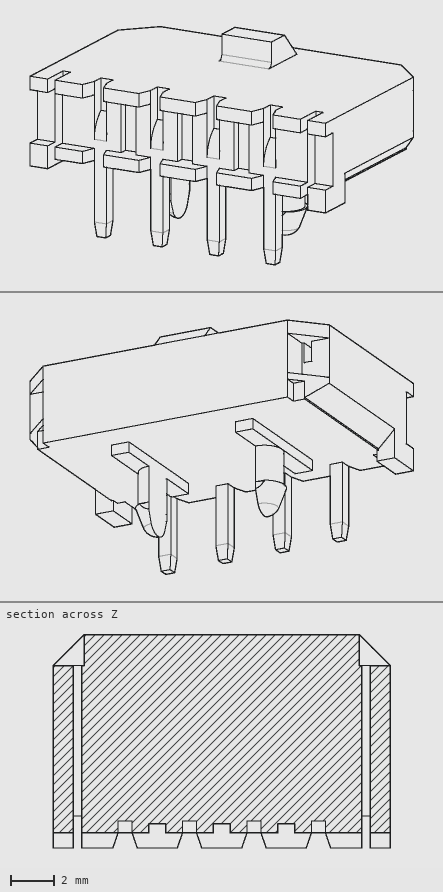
import cadquery as cq
import math


width = 15.65
depth = 9.9
body_bottom = 0.52
body_top = 4.35
corner_chamfer = 1.44
half_width = width / 2

recess_depth = 0.7
recess_bottom = 1.11
recess_top = 3.7

foot_width = 0.94
foot_length = 1.9
slot_width = 0.39
slot_depth = 1.49
slot_centre = half_width - foot_width - slot_width / 2
channel_bottom = 2.7

bevel = 0.85
bevel_top = 1.44
bevel_bottom = bevel_top - bevel
window_bottom = 1.74
corner_notch_top = 1.41
corner_notch_length = corner_chamfer - bevel

pin_count = 4
pin_pitch = 2.99
pin_size = 0.64
pin_tip_size = 0.47
pin_tip_length = 0.72
pin_bottom = -3.18
pin_bend_start = 1.55
pin_bend_radius = 1.5
pin_relief_width = 1.13
pin_back = recess_depth + pin_size

groove_width = 0.78
groove_depth = 0.42

latch_width = 2.63
latch_top = 5.59
latch_fillet = 0.25
latch_front = 6.62
latch_crest_end = 7.89
latch_ramp_end = 9.06

peg_axis_x = 2.79
peg_axis_y = 5.3
peg_radius = 0.9
barb_radius = 1.03
barb_top = -1.78
barb_bottom = -2.79
dome_radius = 0.65
rib_start = 2.2
rib_end = 8.22


def box(x_range, y_range, z_range):
    """Box spanning the given ranges."""
    spans = (x_range, y_range, z_range)
    size = [end - start for start, end in spans]
    corner = [start for start, end in spans]
    return cq.Workplane("XY").box(*size, centered=False).translate(tuple(corner))


def centred(middle, size):
    """Range of a given size about a middle value."""
    return (middle - size / 2, middle + size / 2)


def both_sides(solid):
    """The solid together with its mirror image in X."""
    return solid.union(solid.mirror("YZ"))


def row(count):
    """X places of evenly spaced items, centred on X = 0."""
    return [(i - (count - 1) / 2) * pin_pitch for i in range(count)]


def make_housing():
    block = box((-half_width, half_width), (0, depth), (body_bottom, body_top))
    block = block.edges("|Z and >Y").chamfer(corner_chamfer)
    foot = box((half_width - foot_width, half_width), (0, foot_length), (0, body_bottom))
    recess = box((-half_width, half_width), (0, recess_depth), (recess_bottom, recess_top))
    return block.union(both_sides(foot)).cut(recess)


def make_slots():
    """Vertical slots beside the feet, each with a channel running on through the housing."""
    slot_x = centred(slot_centre, slot_width)
    slot = box(slot_x, (0, slot_depth), (0, body_top))
    channel = box(slot_x, (0, depth), (channel_bottom, recess_top))
    return both_sides(slot.union(channel))


def make_side_cuts():
    """Bevel and step under the side walls, and the notches in the chamfered corners."""
    step_x = half_width - bevel
    side_cut = (
        cq.Workplane("XZ", origin=(0, foot_length, 0))
        .moveTo(half_width, bevel_top)
        .lineTo(step_x, bevel_bottom)
        .lineTo(step_x, body_bottom)
        .lineTo(half_width, body_bottom)
        .close()
        .extrude(foot_length - depth)
    )
    notch_x = (half_width - corner_chamfer, half_width)
    window = box(notch_x, (depth - corner_chamfer, depth), (window_bottom, recess_top))
    low_notch = box(notch_x, (depth - corner_notch_length, depth), (body_bottom, corner_notch_top))
    return both_sides(side_cut.union(window).union(low_notch))


def make_pin_relief(x):
    """Opening that flares towards the terminal end, with a square slot behind it."""
    flare = (
        cq.Workplane("XY", origin=(x, 0, body_bottom))
        .moveTo(-pin_relief_width / 2, 0)
        .lineTo(pin_relief_width / 2, 0)
        .lineTo(pin_size / 2, recess_depth)
        .lineTo(-pin_size / 2, recess_depth)
        .close()
        .extrude(body_top - body_bottom)
    )
    slot = box(centred(x, pin_size), (0, pin_back), (pin_bend_start, body_top))
    return flare.union(slot)


def make_pin(x):
    """Square terminal whose outer bend runs into the back of its slot."""

    def bend_height(y):
        reach = pin_bend_radius - (y - recess_depth)
        return pin_bend_start + math.sqrt(pin_bend_radius**2 - reach**2)

    shank_bottom = pin_bottom + pin_tip_length
    bend_middle = recess_depth + pin_size / 2
    shank = (
        cq.Workplane("YZ", origin=(x - pin_size / 2, 0, 0))
        .moveTo(recess_depth, shank_bottom)
        .lineTo(recess_depth, pin_bend_start)
        .threePointArc((bend_middle, bend_height(bend_middle)), (pin_back, bend_height(pin_back)))
        .lineTo(pin_back, shank_bottom)
        .close()
        .extrude(pin_size)
    )
    tip = (
        cq.Workplane("XY", origin=(x, bend_middle, shank_bottom))
        .rect(pin_size, pin_size)
        .workplane(offset=-pin_tip_length)
        .rect(pin_tip_size, pin_tip_size)
        .loft(ruled=True)
    )
    return shank.union(tip)


def make_groove(x):
    groove_y = (recess_depth, recess_depth + groove_depth)
    return box(centred(x, groove_width), groove_y, (recess_bottom, recess_top))


def make_latch():
    """Ramp rising from the mating end, with a concave fillet at its steep face."""
    fillet_offset = latch_fillet * (1 - math.sqrt(0.5))
    return (
        cq.Workplane("YZ", origin=(-latch_width / 2, 0, 0))
        .moveTo(latch_ramp_end, body_top)
        .lineTo(latch_crest_end, latch_top)
        .lineTo(latch_front, latch_top)
        .lineTo(latch_front, body_top + latch_fillet)
        .threePointArc(
            (latch_front - fillet_offset, body_top + fillet_offset),
            (latch_front - latch_fillet, body_top),
        )
        .close()
        .extrude(latch_width)
    )


def make_pegs():
    """Half-round pegs with a barbed, domed head, hanging from ribs under the housing."""
    dome_height = barb_bottom - pin_bottom
    sphere_radius = (dome_radius**2 + dome_height**2) / (2 * dome_height)
    dome_mid_radius = dome_radius / 2
    dome_mid_z = pin_bottom + sphere_radius - math.sqrt(sphere_radius**2 - dome_mid_radius**2)
    peg = (
        cq.Workplane("XZ")
        .moveTo(0, body_bottom)
        .lineTo(peg_radius, body_bottom)
        .lineTo(peg_radius, barb_top)
        .lineTo(barb_radius, barb_top)
        .lineTo(dome_radius, barb_bottom)
        .threePointArc((dome_mid_radius, dome_mid_z), (0, pin_bottom))
        .close()
        .revolve(360, (0, 0, 0), (0, 1, 0))
    )
    kept_half = box((0, barb_radius), (-peg_radius, peg_radius), (pin_bottom, body_bottom))
    peg = peg.intersect(kept_half).translate((peg_axis_x, peg_axis_y, 0))
    rib = box((peg_axis_x, peg_axis_x + peg_radius), (rib_start, rib_end), (0, body_bottom))
    return both_sides(peg.union(rib))


result = make_housing().cut(make_slots()).cut(make_side_cuts())
for x in row(pin_count - 1):
    result = result.cut(make_groove(x))
for x in row(pin_count):
    result = result.cut(make_pin_relief(x)).union(make_pin(x))
result = result.union(make_latch()).union(make_pegs())